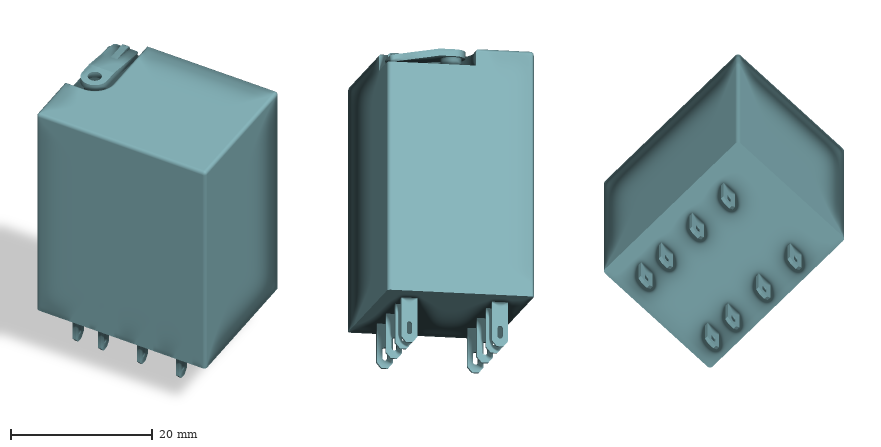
import cadquery as cq
import math

overall_height = 42.1
pin_length = 6.45
body_x = 27.5
body_y = 21.2
body_z = overall_height - pin_length
edge_radius = 0.5
left = -body_x / 2
back = body_y / 2

recess_x = 6.1
recess_y = 12.8
recess_depth = 2.5
recess_radius = 3.0
recess_floor = body_z - recess_depth

pivot_x = left + recess_x - recess_radius
pivot_y = back - recess_y + recess_radius
head_radius = 2.0
post_radius = 1.5
hole_radius = 1.0
lever_thickness = 1.0
lever_slope = 10.0
tip_gap = 0.6
tip_radius = 0.5
bend_y = pivot_y + head_radius
tip_y = back - tip_gap

fin_width = 1.0
fin_length = 3.7

pin_columns = [-9.18, -5.05, 1.2, 7.58]
pin_row_y = 6.55
pin_width = 2.3
pin_thickness = 0.5
pin_chamfer_height = 0.8
pin_chamfer_width = 0.67
eye_width = 0.75
eye_length = 1.85
eye_depth = 4.38


def make_body():
    """Box with rounded upright edges, the recess cut out and the top rim rounded."""
    body = cq.Workplane("XY").box(body_x, body_y, body_z, centered=(True, True, False))
    body = body.edges("|Z").fillet(edge_radius)
    recess = (
        cq.Workplane("XY", origin=(left, back, recess_floor))
        .rect(2 * recess_x, 2 * recess_y)
        .extrude(recess_depth)
        .edges("|Z")
        .fillet(recess_radius)
    )
    return body.cut(recess).faces(">Z").edges().fillet(edge_radius)


def slope_drop(y):
    """Height lost by the sloping arm between the bend and y."""
    return (y - bend_y) * math.tan(math.radians(lever_slope))


def side_profile(points, width):
    """Extrude a (Y, Z) outline along X, centred on the pivot."""
    plane = cq.Workplane("YZ", origin=(pivot_x, 0, 0))
    return plane.polyline(points).close().extrude(width / 2, both=True)


def make_lever():
    """Post, pivot head with a blind hole, sloping arm and fin."""
    pivot = cq.Workplane("XY", origin=(pivot_x, pivot_y, recess_floor))
    post = pivot.circle(post_radius).extrude(recess_depth)
    head = (
        pivot.workplane(offset=recess_depth - lever_thickness)
        .circle(head_radius)
        .extrude(lever_thickness)
    )

    slope = math.radians(lever_slope)
    under_bend_y = bend_y - lever_thickness * math.tan(slope / 2)
    under_z = body_z - lever_thickness
    tip_z = body_z - slope_drop(tip_y)
    under_tip = (
        tip_y - lever_thickness * math.sin(slope),
        tip_z - lever_thickness * math.cos(slope),
    )
    arm = side_profile(
        [
            (pivot_y, body_z),
            (bend_y, body_z),
            (tip_y, tip_z),
            under_tip,
            (under_bend_y, under_z),
            (pivot_y, under_z),
        ],
        2 * head_radius,
    )
    arm = arm.faces(">Y").edges("not |X").fillet(tip_radius)

    fin_start = tip_y - fin_length
    fin_top = body_z - slope_drop(fin_start)
    fin = side_profile([(fin_start, fin_top), (tip_y, fin_top), (tip_y, tip_z)], fin_width)
    fin = fin.edges("|X and >Y and >Z").fillet(tip_radius)

    hole = pivot.workplane(offset=recess_depth).circle(hole_radius).extrude(-lever_thickness)
    return post.union(head).union(arm).union(fin).cut(hole)


def make_pin():
    """Upright blade hanging from Z = 0, with a chamfered tip and an oblong eye."""
    blade = cq.Workplane("XY").rect(pin_thickness, pin_width).extrude(-pin_length)
    blade = blade.faces("<Z").edges("|X").chamfer(pin_chamfer_height, pin_chamfer_width)
    eye = (
        cq.Workplane("YZ", origin=(0, 0, -eye_depth))
        .slot2D(eye_length, eye_width, 90)
        .extrude(pin_thickness, both=True)
    )
    return blade.cut(eye)


result = make_body().union(make_lever())
pin = make_pin()
for column_x in pin_columns:
    for row_y in (-pin_row_y, pin_row_y):
        result = result.union(pin.translate((column_x, row_y, 0)))